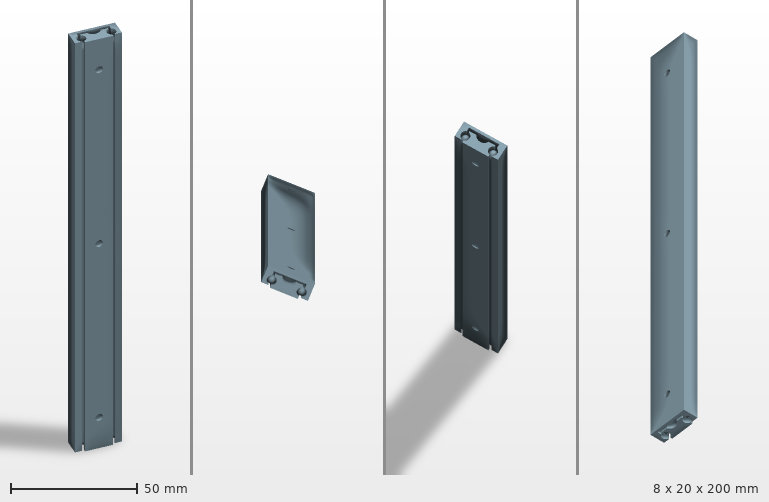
import cadquery as cq

DEPTH = 8.0
WIDTH = 20.0
LENGTH = 200.0

CHANNEL_DEPTH = 7.2
WEB_THICKNESS = 1.2
FLANGE_THICKNESS = 3.0
CAVITY_WIDTH = WIDTH - 2 * FLANGE_THICKNESS

RAIL_BACK_X = 2.5
FLANGE_GAP = 1.0
RAIL_WIDTH = CAVITY_WIDTH - 2 * FLANGE_GAP

RELIEF_DIAMETER = 6.5
RELIEF_AXIS_X = 1.0

RACE_DIAMETER = 4.0
RACE_RADIUS = RACE_DIAMETER / 2
RACE_X = 5.0
RACE_Y = 6.5
DOME_DEPTH = 2.0
RACE_AXES = [(RACE_X, -RACE_Y), (RACE_X, RACE_Y)]

SCREW_DIAMETER = 3.2
SCREW_PITCH = 85.0
SCREW_POSITIONS = [(0, i * SCREW_PITCH) for i in (-1, 0, 1)]


def bar(x_start, x_end, width):
    """A full-length bar between two X positions, centred on Y and Z."""
    return (
        cq.Workplane("XY")
        .box(x_end - x_start, width, LENGTH, centered=(False, True, True))
        .translate((x_start, 0, 0))
    )


def round_bars(axes, diameter, length):
    """Cylinders along Z at the given (X, Y) axes, centred on Z."""
    return cq.Workplane("XY").pushPoints(axes).circle(diameter / 2).extrude(length / 2, both=True)


def screw_holes():
    """Cutters for the row of screw holes, through the full depth."""
    return cq.Workplane("YZ").pushPoints(SCREW_POSITIONS).circle(SCREW_DIAMETER / 2).extrude(DEPTH)


def race_rods():
    """Rods that fill the races and end in hemispherical domes."""
    dome_center_z = LENGTH / 2 - DOME_DEPTH - RACE_RADIUS
    rods = round_bars(RACE_AXES, RACE_DIAMETER, 2 * dome_center_z)
    for x, y in RACE_AXES:
        for z in (-dome_center_z, dome_center_z):
            rods = rods.union(cq.Workplane("XY").sphere(RACE_RADIUS).translate((x, y, z)))
    return rods


def make_channel():
    """C-section outer channel with its halves of the races."""
    cavity = bar(WEB_THICKNESS, CHANNEL_DEPTH, CAVITY_WIDTH)
    races = round_bars(RACE_AXES, RACE_DIAMETER, LENGTH)
    return bar(0, CHANNEL_DEPTH, WIDTH).cut(cavity).cut(races).cut(screw_holes())


def make_rail():
    """Inner rail with its relief groove, its halves of the races and the rods."""
    relief = round_bars([(RELIEF_AXIS_X, 0)], RELIEF_DIAMETER, LENGTH)
    races = round_bars(RACE_AXES, RACE_DIAMETER, LENGTH)
    rail = bar(RAIL_BACK_X, DEPTH, RAIL_WIDTH).cut(relief).cut(races).cut(screw_holes())
    return rail.union(race_rods())


channel = make_channel()
rail = make_rail()

result = cq.Compound.makeCompound([channel.val(), rail.val()])